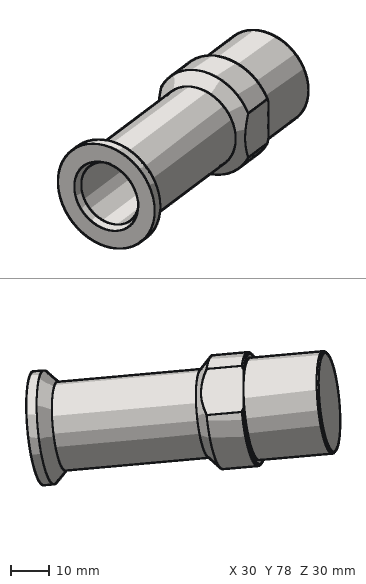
import cadquery as cq
import math

total_length = 78.0
flange_thickness = 2.8
flange_cone_end = 6.2
collar_cone_start = 44.8
collar_start = 48.05
rear_length = 20.05
collar_end = total_length - rear_length

flange_diameter = 30.0
tube_diameter = 23.4
rear_diameter = 27.0
across_flats = rear_diameter
mouth_diameter = 19.8
bore_diameter = 17.8

rear_chamfer = 0.5
collar_chamfer = 0.5

mouth_depth = 1.8
bore_depth = 58.0
bottom_cone_angle = 106.0


def revolve_profile(points):
    """Revolve a closed (radius, axial position) outline about the Y axis."""
    return cq.Workplane("XY").polyline(points).close().revolve(360, (0, 0, 0), (0, 1, 0))


def make_body():
    flange_radius = flange_diameter / 2
    tube_radius = tube_diameter / 2
    rear_radius = rear_diameter / 2
    return revolve_profile([
        (0, 0),
        (flange_radius, 0),
        (flange_radius, flange_thickness),
        (tube_radius, flange_cone_end),
        (tube_radius, collar_cone_start),
        (flange_radius, collar_start),
        (flange_radius, collar_end - collar_chamfer),
        (flange_radius - collar_chamfer, collar_end),
        (rear_radius, collar_end),
        (rear_radius, total_length - rear_chamfer),
        (rear_radius - rear_chamfer, total_length),
        (0, total_length),
    ])


def make_bore():
    mouth_radius = mouth_diameter / 2
    bore_radius = bore_diameter / 2
    bottom_cone_depth = bore_radius / math.tan(math.radians(bottom_cone_angle / 2))
    return revolve_profile([
        (0, 0),
        (mouth_radius, 0),
        (bore_radius, mouth_depth),
        (bore_radius, bore_depth),
        (0, bore_depth + bottom_cone_depth),
    ])


def make_wrench_flat_cutter(side):
    """Block outside one wrench flat; side is -1 for -X and +1 for +X."""
    collar_length = collar_end - collar_cone_start
    center_x = side * (across_flats + flange_diameter) / 2
    center_y = (collar_cone_start + collar_end) / 2
    return (
        cq.Workplane("XY")
        .box(flange_diameter, collar_length, flange_diameter)
        .translate((center_x, center_y, 0))
    )


result = make_body().cut(make_bore())
for side in (-1, 1):
    result = result.cut(make_wrench_flat_cutter(side))